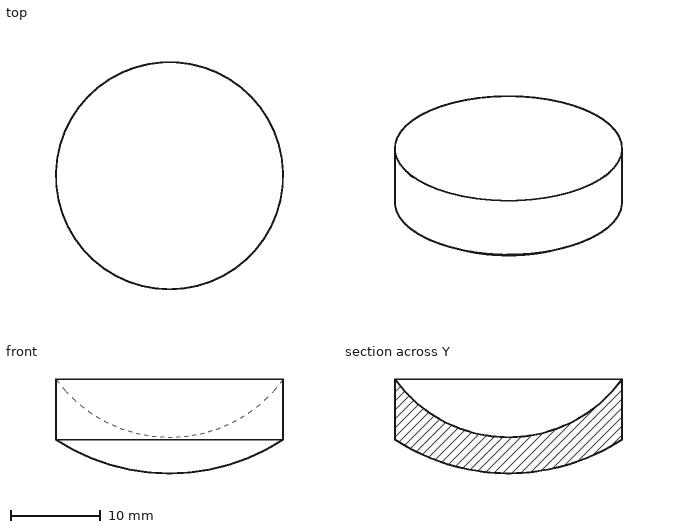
import cadquery as cq

diameter = 25.4
total_height = 10.57
dome_depth = 3.78
hollow_depth = 6.5

radius = diameter / 2
edge_height = total_height - dome_depth


def spherical_sag(distance, depth):
    """Height above the vertex, at a distance from the axis, of a spherical face."""
    sphere_radius = (radius**2 + depth**2) / (2 * depth)
    return sphere_radius - (sphere_radius**2 - distance**2) ** 0.5


bottom_vertex = -dome_depth
top_vertex = edge_height - hollow_depth
arc_middle = -radius / 2

half_section = (
    cq.Workplane("YZ")
    .moveTo(0, bottom_vertex)
    .threePointArc(
        (arc_middle, bottom_vertex + spherical_sag(arc_middle, dome_depth)),
        (-radius, 0),
    )
    .lineTo(-radius, edge_height)
    .threePointArc(
        (arc_middle, top_vertex + spherical_sag(arc_middle, hollow_depth)),
        (0, top_vertex),
    )
    .close()
)

result = half_section.revolve(360, (0, 0, 0), (0, 1, 0))